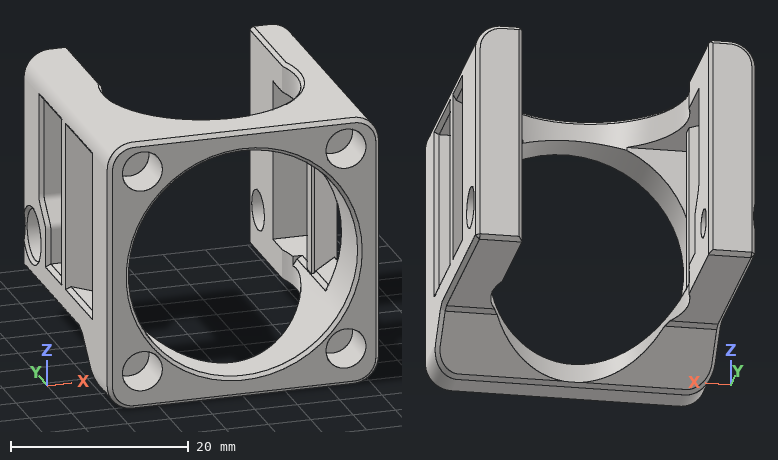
import cadquery as cq
import math

SIDE = 32.0
HALF = SIDE / 2
CORNER_RADIUS = 3.0
CHAMFER = 0.48

SKIRT_HEIGHT = 6.0
RAMP_FOOT_Y = 4.5

BORE_DIAMETER = 27.0
BORE_DEPTH = 17.12
BORE_CHAMFER = 0.4
SHAFT_RADIUS = 11.2
SLOT_WIDTH = 21.3
RIM_CHAMFER = 0.4

MAGNET_DIAMETER = 4.7
MAGNET_DEPTH = 5.0
MAGNET_SPACING = 24.0
MAGNET_CENTER_Z = 16.5

WINDOW_FLOOR = 9.5
WINDOW_TOP = 28.48
WINDOW_FRONT = 6.5
WINDOW_BACK = 23.0
STEP_SIZE = 2.5
STEP_TOP = 16.5
STEP_RADIUS = 1.0
SILL_CHAMFER = 0.4

LOUVRE_OUTER_Y = 15.97
LOUVRE_WIDTH = 1.6
LOUVRE_INNER_X = 11.7
LOUVRE_TIP_Y = 11.7
LOUVRE_TIP_CHAMFER = 0.3

SCREW_DIAMETER = 3.25
INSERT_DIAMETER = 4.7
HEAD_DIAMETER = 6.0
HEAD_DEPTH = 2.0
HEAD_CHAMFER = 0.4
SCREW_Y = 28.5
SCREW_Z = 11.0

OVERSHOOT = 1.6
PICK = 0.03

SLOT_HALF = SLOT_WIDTH / 2


def make_block():
    """Rounded block with a ramped underside and chamfered outer edges."""
    block = (
        cq.Workplane("XY")
        .box(SIDE, SIDE, SIDE)
        .translate((0, HALF, HALF))
        .edges("|Y")
        .fillet(CORNER_RADIUS)
    )
    below_ramp = (
        cq.Workplane("YZ")
        .moveTo(RAMP_FOOT_Y, 0)
        .lineTo(RAMP_FOOT_Y + SKIRT_HEIGHT, SKIRT_HEIGHT)
        .lineTo(SIDE + OVERSHOOT, SKIRT_HEIGHT)
        .lineTo(SIDE + OVERSHOOT, -OVERSHOOT)
        .lineTo(RAMP_FOOT_Y - OVERSHOOT, -OVERSHOOT)
        .close()
        .extrude(SIDE, both=True)
    )
    block = block.cut(below_ramp)
    block = block.faces("<Y").edges().chamfer(CHAMFER)
    ramp_skirt_and_back = cq.selectors.BoxSelector(
        (-PICK, RAMP_FOOT_Y, PICK),
        (PICK, SIDE + PICK, SIDE - PICK),
    )
    return block.faces(ramp_skirt_and_back).edges().chamfer(CHAMFER)


def cut_shaft_and_slot(body):
    """Vertical shaft that opens to the back through a slot, with a chamfered top rim."""
    shaft = cq.Workplane("XY").center(0, HALF).circle(SHAFT_RADIUS).extrude(SIDE)
    slot_length = HALF + OVERSHOOT
    slot = (
        cq.Workplane("XY")
        .center(0, HALF + slot_length / 2)
        .rect(SLOT_WIDTH, slot_length)
        .extrude(SIDE)
    )
    body = body.cut(shaft.union(slot))
    top_rim = cq.selectors.BoxSelector(
        (-SHAFT_RADIUS - RIM_CHAMFER, CHAMFER + PICK, SIDE - PICK),
        (SHAFT_RADIUS + RIM_CHAMFER, SIDE - CHAMFER - PICK, SIDE + PICK),
    )
    body = body.edges(top_rim).chamfer(RIM_CHAMFER)
    slot_back_corners = cq.selectors.BoxSelector(
        (-SLOT_HALF - PICK, SIDE - PICK, SKIRT_HEIGHT),
        (SLOT_HALF + PICK, SIDE + PICK, SIDE - CHAMFER),
    )
    return body.edges(slot_back_corners).edges("|Z").chamfer(RIM_CHAMFER)


def cut_bore(body):
    """Blind round bore in the front face with a chamfered mouth."""
    bore = (
        cq.Workplane("XZ")
        .center(0, HALF)
        .circle(BORE_DIAMETER / 2)
        .extrude(-BORE_DEPTH)
    )
    mouth = (
        cq.Workplane("XZ")
        .center(0, HALF)
        .circle(BORE_DIAMETER / 2 + BORE_CHAMFER)
        .workplane(offset=-BORE_CHAMFER)
        .circle(BORE_DIAMETER / 2)
        .loft()
    )
    return body.cut(bore).cut(mouth)


def cut_magnet_pockets(body):
    """Four blind pockets near the corners of the front face."""
    pockets = (
        cq.Workplane("XZ")
        .center(0, MAGNET_CENTER_Z)
        .rect(MAGNET_SPACING, MAGNET_SPACING, forConstruction=True)
        .vertices()
        .circle(MAGNET_DIAMETER / 2)
        .extrude(-MAGNET_DEPTH)
    )
    return body.cut(pockets)


def cut_window(body, side, stepped):
    """Window through one wall (side is -1 or +1), chamfered on the outer face.

    A stepped window is wider above a 45 degree step in its back edge.
    """
    outline = cq.Workplane("YZ").moveTo(WINDOW_FRONT, WINDOW_TOP).lineTo(WINDOW_FRONT, WINDOW_FLOOR)
    outline = outline.lineTo(WINDOW_BACK, WINDOW_FLOOR)
    wide_back = WINDOW_BACK
    if stepped:
        wide_back += STEP_SIZE
        outline = outline.lineTo(WINDOW_BACK, STEP_TOP - STEP_SIZE).lineTo(wide_back, STEP_TOP)
    window = outline.lineTo(wide_back, WINDOW_TOP).close().extrude(side * HALF)
    if stepped:
        step_bends = cq.selectors.BoxSelector(
            (-HALF, WINDOW_BACK - PICK, STEP_TOP - STEP_SIZE - PICK),
            (HALF, wide_back + PICK, STEP_TOP + PICK),
        )
        window = window.edges(step_bends).edges("|X").fillet(STEP_RADIUS)
    outer_rim = cq.selectors.BoxSelector(
        (side * (HALF - PICK), WINDOW_FRONT - PICK, WINDOW_FLOOR - PICK),
        (side * (HALF + PICK), wide_back + PICK, WINDOW_TOP + PICK),
    )
    return body.cut(window).edges(outer_rim).chamfer(CHAMFER)


def chamfer_sills(body):
    """Small chamfers where the window floors meet the bore."""
    edge_x = math.sqrt((BORE_DIAMETER / 2) ** 2 - (HALF - WINDOW_FLOOR) ** 2)
    for side in (-1, 1):
        sill_edge = cq.selectors.BoxSelector(
            (side * edge_x - PICK, WINDOW_FRONT, WINDOW_FLOOR - PICK),
            (side * edge_x + PICK, BORE_DEPTH, WINDOW_FLOOR + PICK),
        )
        body = body.edges(sill_edge).edges("|Y").chamfer(SILL_CHAMFER)
    return body


def make_louvre(side):
    """Slanted upright strip that divides the window of one wall."""
    outer_back = LOUVRE_OUTER_Y + LOUVRE_WIDTH
    tip_back = LOUVRE_TIP_Y + LOUVRE_TIP_CHAMFER + LOUVRE_WIDTH
    section = [
        (side * HALF, LOUVRE_OUTER_Y),
        (side * (LOUVRE_INNER_X + LOUVRE_TIP_CHAMFER), LOUVRE_TIP_Y),
        (side * LOUVRE_INNER_X, LOUVRE_TIP_Y + LOUVRE_TIP_CHAMFER),
        (side * LOUVRE_INNER_X, tip_back),
        (side * HALF, outer_back),
    ]
    height = WINDOW_TOP - WINDOW_FLOOR + 2 * CHAMFER
    base = cq.Workplane("XY", origin=(0, 0, WINDOW_FLOOR - CHAMFER))
    return base.polyline(section).close().extrude(height)


def cut_screw_holes(body):
    """Screw hole with a chamfered head recess in the -X wall and a wider hole in the +X wall."""
    axis = cq.Workplane("YZ", origin=(-HALF, SCREW_Y, SCREW_Z))
    hole = axis.circle(SCREW_DIAMETER / 2).extrude(HALF)
    insert = axis.workplane(offset=HALF).circle(INSERT_DIAMETER / 2).extrude(HALF)
    head = axis.circle(HEAD_DIAMETER / 2).extrude(HEAD_DEPTH)
    mouth = (
        axis.circle(HEAD_DIAMETER / 2 + HEAD_CHAMFER)
        .workplane(offset=HEAD_CHAMFER)
        .circle(HEAD_DIAMETER / 2)
        .loft()
    )
    return body.cut(hole).cut(insert).cut(head).cut(mouth)


body = make_block()
body = cut_shaft_and_slot(body)
body = cut_bore(body)
body = cut_magnet_pockets(body)
body = cut_window(body, -1, stepped=True)
body = cut_window(body, 1, stepped=False)
body = chamfer_sills(body)
for wall_side in (-1, 1):
    body = body.union(make_louvre(wall_side))
result = cut_screw_holes(body)